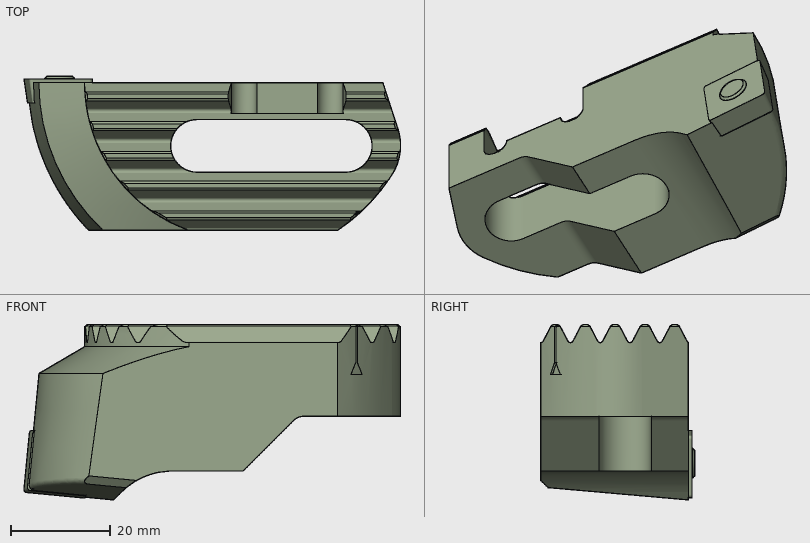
import cadquery as cq
import math

LENGTH = 76.0
WIDTH = 29.8
BLANK_DEPTH = 45.6

NOSE_AXIS_X = 43.85
CROWN_RADIUS = 31.6
SHOULDER_RADIUS = 40.8
CROWN_Z = -4.5
SHOULDER_Z = -9.9
NOSE_TAPER = 5.5

TAIL_START_X = 63.3
TAIL_FLANK = (69.5, 5.2)
TAIL_CORNER = (76.9, 16.0)
TAIL_TIP_RADIUS = 10.8
TAIL_END_X = 72.4

BASE_X = 18.1
BASE_Z = -35.4
BASE_SLOPE_X = NOSE_TAPER
BASE_SLOPE_Y = 5.5
BASE_CHAMFER = 1.5
BASE_FILLET = 1.15

BELLY_Z = -29.6
BELLY_END_X = 44.2
TAIL_Z = -18.55
BELLY_BLEND = 14.6
TAIL_BLEND = 3.05

TOOTH_COUNT = 5
TOOTH_PITCH = 6.0
TOOTH_HEIGHT = 3.65
CREST_WIDTH = 1.8
CREST_BEVEL_WIDTH = 0.45
CREST_BEVEL_DROP = 0.3
CREST_END_CHAMFER = 0.45
ROOT_WIDTH = 0.9
ROOT_SAG = 0.2

SLOT_X = 49.9
SLOT_Y = 17.0
SLOT_LENGTH = 40.6
SLOT_WIDTH = 10.6

NOTCH_X = 53.1
NOTCH_WIDTH = 22.6
NOTCH_Y = 23.55
NOTCH_DEPTH = 10.65
NOTCH_FLARE = 0.6
GROOVE_RADIUS = 2.6

POINTER_X = 67.1
POINTER_LINE_WIDTH = 0.3
POINTER_TIP_Z = -7.7
POINTER_FOOT_Z = -10.1
POINTER_WIDTH = 2.3
POINTER_DEPTH = 0.2

PLATE_TOP_Z = -21.3
PLATE_LENGTH = 12.85
PLATE_Y = 25.7
PLATE_PROUD = 0.75
PLATE_TILT = NOSE_TAPER
PLATE_DROP = 0.2
PLATE_LEAD = 0.7
PLATE_FILLET = 0.7

BUTTON_X = 7.2
BUTTON_Z = -28.0
BUTTON_DIAMETER = 6.1
BUTTON_HEIGHT = 0.5
BUTTON_CHAMFER = 0.45

PLATE_FACE_Y = WIDTH + PLATE_PROUD
MARGIN = 3.8


def along_y(start_y):
    """XZ sketch plane at the given Y; positive extrusion runs towards +Y."""
    return cq.Workplane(cq.Plane((0, start_y, 0), (-1, 0, 0), (0, 1, 0)))


def profile_along_y(points, start_y, end_y):
    """Prism of a closed XZ polygon between two Y positions."""
    return along_y(start_y).polyline([(-x, z) for x, z in points]).close().extrude(end_y - start_y)


def below_base():
    """Everything under the tilted base plane."""
    normal = (math.tan(math.radians(BASE_SLOPE_X)), math.tan(math.radians(BASE_SLOPE_Y)), 1)
    plane = cq.Plane((BASE_X, WIDTH, BASE_Z), (1, 0, -normal[0]), normal)
    return cq.Workplane(plane).rect(4 * LENGTH, 4 * LENGTH).extrude(-BLANK_DEPTH)


def tail_blank():
    """Straight-sided blank with the tail outline and a bevelled upper tail edge."""
    blank = (
        cq.Workplane("XY")
        .moveTo(-LENGTH, 0)
        .lineTo(TAIL_START_X, 0)
        .threePointArc(TAIL_FLANK, TAIL_CORNER)
        .lineTo(TAIL_END_X, WIDTH)
        .lineTo(-LENGTH, WIDTH)
        .close()
        .extrude(-BLANK_DEPTH)
        .edges("|Z and >X")
        .fillet(TAIL_TIP_RADIUS)
    )
    tail = cq.selectors.BoxSelector((TAIL_START_X, -MARGIN, -0.75), (LENGTH + MARGIN, WIDTH + MARGIN, 0.75))
    return blank.edges(tail).chamfer(CREST_END_CHAMFER)


def nose_envelope():
    """Turned nose joined to a block that leaves the rest of the blank whole."""
    foot_radius = SHOULDER_RADIUS + (SHOULDER_Z + BLANK_DEPTH) * math.tan(math.radians(NOSE_TAPER))
    turned = (
        cq.Workplane("XZ")
        .polyline([
            (0, 0),
            (CROWN_RADIUS - CREST_END_CHAMFER, 0),
            (CROWN_RADIUS, -CREST_END_CHAMFER),
            (CROWN_RADIUS, CROWN_Z),
            (SHOULDER_RADIUS, SHOULDER_Z),
            (foot_radius, -BLANK_DEPTH),
            (0, -BLANK_DEPTH),
        ])
        .close()
        .revolve(360, (0, 0), (0, 1))
        .translate((NOSE_AXIS_X, WIDTH, 0))
    )
    rest = cq.Workplane("XY").box(LENGTH, WIDTH, BLANK_DEPTH, centered=False)
    return turned.union(rest.translate((NOSE_AXIS_X, 0, -BLANK_DEPTH)))


def shaped_blank():
    """Blank with its nose, tilted base and softened base edges."""
    blank = tail_blank().intersect(nose_envelope()).cut(below_base())
    blank = blank.faces("<Y").edges("<Z").chamfer(BASE_CHAMFER)
    middle_of_rim = (NOSE_AXIS_X - SHOULDER_RADIUS, WIDTH / 2, BASE_Z)
    return blank.edges(cq.selectors.NearestToPointSelector(middle_of_rim)).fillet(BASE_FILLET)


def underside():
    """Space under the belly and the tail."""
    floor_z = -BLANK_DEPTH - MARGIN
    belly_start_x = BASE_X + BELLY_Z - BASE_Z
    tail_start_x = BELLY_END_X + TAIL_Z - BELLY_Z
    space = profile_along_y(
        [
            (belly_start_x + floor_z - BELLY_Z, floor_z),
            (belly_start_x, BELLY_Z),
            (BELLY_END_X, BELLY_Z),
            (tail_start_x, TAIL_Z),
            (LENGTH + MARGIN, TAIL_Z),
            (LENGTH + MARGIN, floor_z),
        ],
        -MARGIN,
        WIDTH + MARGIN,
    )

    def bend(x, z):
        return cq.selectors.BoxSelector((x - 0.75, -LENGTH, z - 0.75), (x + 0.75, LENGTH, z + 0.75))

    space = space.edges(bend(belly_start_x, BELLY_Z)).fillet(BELLY_BLEND)
    return space.edges(bend(tail_start_x, TAIL_Z)).fillet(TAIL_BLEND)


def tooth_gaps():
    """V-shaped gaps, rounded at the root, that leave bevelled teeth."""
    half_root = ROOT_WIDTH / 2
    root_z = ROOT_SAG - TOOTH_HEIGHT
    half_shoulder = (TOOTH_PITCH - CREST_WIDTH) / 2
    half_top = half_shoulder + CREST_BEVEL_WIDTH
    gap = (
        cq.Workplane("YZ")
        .moveTo(-half_root, root_z)
        .threePointArc((0, -TOOTH_HEIGHT), (half_root, root_z))
        .lineTo(half_shoulder, -CREST_BEVEL_DROP)
        .lineTo(half_top, 0)
        .lineTo(-half_top, 0)
        .lineTo(-half_shoulder, -CREST_BEVEL_DROP)
        .close()
        .extrude(LENGTH + MARGIN)
    )
    return [gap.translate((0, i * TOOTH_PITCH, 0)) for i in range(TOOTH_COUNT + 1)]


def slot():
    """Round-ended slot through the full height."""
    return (
        cq.Workplane("XY")
        .center(SLOT_X, SLOT_Y)
        .slot2D(SLOT_LENGTH, SLOT_WIDTH)
        .extrude(-BLANK_DEPTH)
    )


def notch():
    """Open pocket with flared upper ends and a half-round groove at each end of its floor."""
    half = NOTCH_WIDTH / 2
    end_y = WIDTH + MARGIN
    pocket = profile_along_y(
        [
            (NOTCH_X - half, -NOTCH_DEPTH),
            (NOTCH_X + half, -NOTCH_DEPTH),
            (NOTCH_X + half, -TOOTH_HEIGHT),
            (NOTCH_X + half + NOTCH_FLARE, 0),
            (NOTCH_X - half - NOTCH_FLARE, 0),
            (NOTCH_X - half, -TOOTH_HEIGHT),
        ],
        NOTCH_Y,
        end_y,
    )
    groove_offset = half - GROOVE_RADIUS
    for x in (NOTCH_X - groove_offset, NOTCH_X + groove_offset):
        groove = along_y(NOTCH_Y).center(-x, -NOTCH_DEPTH).circle(GROOVE_RADIUS).extrude(end_y - NOTCH_Y)
        pocket = pocket.union(groove)
    return pocket


def pointer():
    """Line and triangle, cut only into the outer skin of the tail flank."""
    half_line = POINTER_LINE_WIDTH / 2
    half_foot = POINTER_WIDTH / 2
    mark = profile_along_y(
        [
            (POINTER_X - half_line, 0),
            (POINTER_X + half_line, 0),
            (POINTER_X + half_line, POINTER_TIP_Z),
            (POINTER_X + half_foot, POINTER_FOOT_Z),
            (POINTER_X - half_foot, POINTER_FOOT_Z),
            (POINTER_X - half_line, POINTER_TIP_Z),
        ],
        0,
        SLOT_Y - SLOT_WIDTH / 2,
    )
    core = tail_blank().translate((-POINTER_DEPTH, POINTER_DEPTH, 0))
    return mark.cut(core)


def plate():
    """Tilted block in the nose corner, its lower end parallel to the tilted base and its tip at X = 0."""
    tilt = math.radians(PLATE_TILT)
    origin = (0, 0, PLATE_TOP_Z)
    top = cq.Plane(origin, (math.cos(tilt), 0, -math.sin(tilt)), (math.sin(tilt), 0, math.cos(tilt)))
    block = (
        cq.Workplane(top)
        .polyline([
            (PLATE_LEAD, PLATE_Y),
            (0, PLATE_FACE_Y),
            (PLATE_LENGTH, PLATE_FACE_Y),
            (PLATE_LENGTH, PLATE_Y),
        ])
        .close()
        .extrude(-BLANK_DEPTH / 2)
        .cut(below_base().translate((0, 0, -PLATE_DROP)))
    )
    between_sides = cq.selectors.BoxSelector(
        (-LENGTH, PLATE_Y + 0.75, -LENGTH),
        (LENGTH, PLATE_FACE_Y - 0.75, LENGTH),
    )
    block = block.edges(between_sides).fillet(PLATE_FILLET)
    return block.translate((-block.val().BoundingBox().xmin, 0, 0))


def button():
    """Round chamfered button resting on the plate."""
    return (
        along_y(PLATE_FACE_Y)
        .center(-BUTTON_X, BUTTON_Z)
        .circle(BUTTON_DIAMETER / 2)
        .extrude(BUTTON_HEIGHT)
        .faces(">Y")
        .chamfer(BUTTON_CHAMFER)
    )


def housing(plate_body):
    """Toothed housing, recessed around the plate."""
    body = shaped_blank().cut(underside()).cut(pointer())
    for gap in tooth_gaps():
        body = body.cut(gap)
    return body.cut(slot()).cut(notch()).cut(plate_body)


plate_body = plate()
result = cq.Compound.makeCompound([housing(plate_body).val(), plate_body.val(), button().val()])